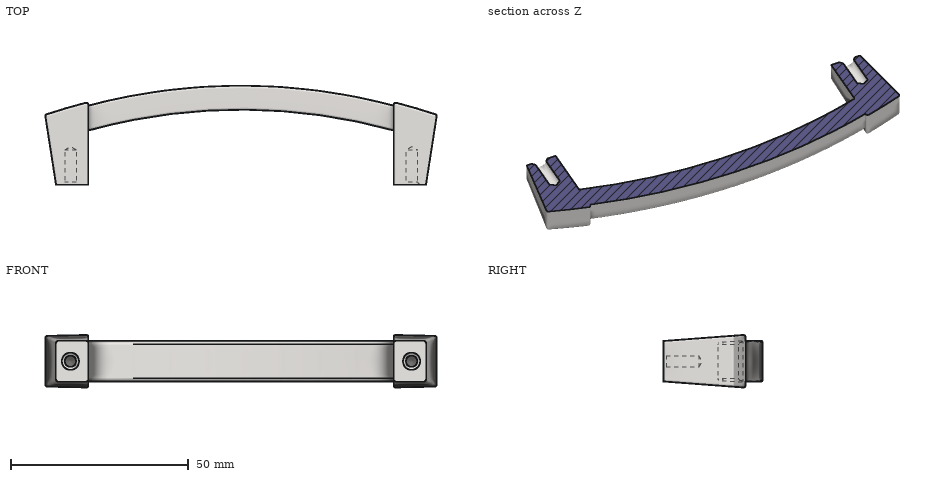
import cadquery as cq
import math


bar_crown = 28.0
bar_outer_radius = 167.4
bar_thickness = 6.8
bar_outer_width = 11.7
bar_draft = 4
bar_embed = 2.2

leg_half_span = 55.2
leg_inner_x = 42.9
leg_height = 23.3
leg_end_radius = 174
leg_top_width = 15.0
foot_width = 11.5
foot_inset = 3.1

edge_radius = 0.7

hole_spacing = 96.0
hole_diameter = 3.2
hole_depth = 9.9
countersink_diameter = 4.8
countersink_angle = 90
drill_tip_angle = 118


def make_bar():
    """Bowed bar of drafted section with rounded long edges."""
    center_y = bar_crown - bar_outer_radius
    inner_y = bar_crown - bar_thickness
    outer_half = bar_outer_width / 2
    inner_half = outer_half - bar_thickness * math.tan(math.radians(bar_draft))
    half_sweep = math.degrees(math.asin((leg_inner_x + bar_embed) / bar_outer_radius))

    section = (
        cq.Workplane("YZ")
        .polyline([
            (bar_crown, -outer_half),
            (bar_crown, outer_half),
            (inner_y, inner_half),
            (inner_y, -inner_half),
        ])
        .close()
    )
    bar = section.revolve(2 * half_sweep, (center_y, 0, 0), (center_y, 1, 0))
    bar = bar.rotate((0, center_y, 0), (0, center_y, 1), -half_sweep)
    return bar.edges("%CIRCLE").fillet(edge_radius)


def make_leg():
    """Tapered leg on the +X side, rounded everywhere except around the foot."""

    def end_point(x):
        """Point at position x on the bowed end surface."""
        center_y = leg_height - math.sqrt(leg_end_radius**2 - leg_inner_x**2)
        return (x, center_y + math.sqrt(leg_end_radius**2 - x**2))

    outline = (
        cq.Workplane("XY")
        .moveTo(leg_inner_x, 0)
        .lineTo(leg_half_span - foot_inset, 0)
        .lineTo(*end_point(leg_half_span))
        .threePointArc(end_point((leg_inner_x + leg_half_span) / 2), end_point(leg_inner_x))
        .close()
        .extrude(leg_top_width, both=True)
    )
    taper = (
        cq.Workplane("YZ")
        .polyline([
            (0, -foot_width / 2),
            (0, foot_width / 2),
            (leg_height, leg_top_width / 2),
            (leg_height, -leg_top_width / 2),
        ])
        .close()
        .extrude(leg_half_span)
    )
    leg = outline.intersect(taper)
    return leg.edges("not(<Y)").fillet(edge_radius)


def make_screw_hole():
    """Countersunk blind hole with a drill tip, entering the +X foot."""
    hole_radius = hole_diameter / 2
    sink_radius = countersink_diameter / 2
    sink_depth = (sink_radius - hole_radius) / math.tan(math.radians(countersink_angle / 2))
    tip_length = hole_radius / math.tan(math.radians(drill_tip_angle / 2))
    return (
        cq.Workplane("XY")
        .polyline([
            (0, 0),
            (sink_radius, 0),
            (hole_radius, sink_depth),
            (hole_radius, hole_depth),
            (0, hole_depth + tip_length),
        ])
        .close()
        .revolve(360, (0, 0, 0), (0, 1, 0))
        .translate((hole_spacing / 2, 0, 0))
    )


leg = make_leg()
screw_hole = make_screw_hole()

result = make_bar().union(leg).union(leg.mirror("YZ"))
result = result.cut(screw_hole).cut(screw_hole.mirror("YZ"))